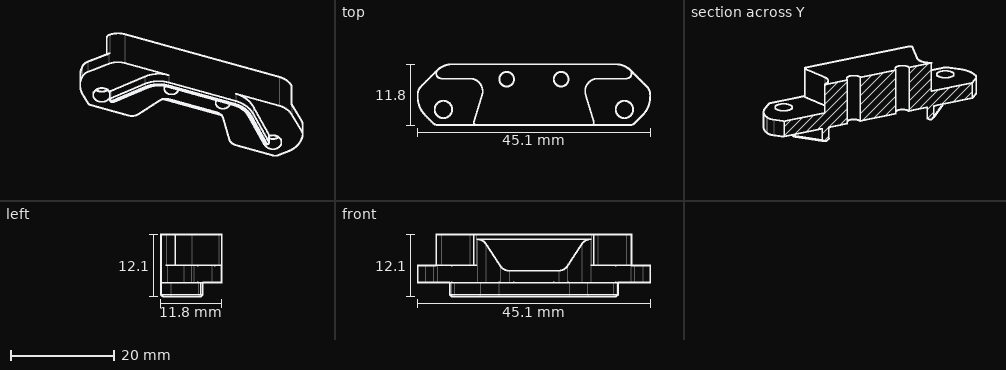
import cadquery as cq
import math

LENGTH = 45.1
DEPTH = 11.8
HEIGHT = 12.1
HALF_LENGTH = LENGTH / 2

FLANGE_BOTTOM = 2.75
FLANGE_TOP = 6.1
FRONT_CUT = 3.4
BACK_CUT = 5.0
FRONT_EDGE_ROUND = 1.0
FRONT_SIDE_ROUND = 4.95
BACK_SIDE_ROUND = 2.1
BACK_EDGE_ROUND = 4.15

BLOCK_FRONT_HALF_WIDTH = 11.8
BLOCK_TAPER = math.radians(17)
ARM_FRONT_Y = 9.0
ARM_TIP_ROUND = 1.0
ARM_ROOT_ROUND = 2.5
BLOCK_FRONT_ROUND = 0.5

POCKET_DEPTH = 6.35
POCKET_BACK_HALF_WIDTH = 5.9
POCKET_SIDE_ANGLE = math.radians(58)
POCKET_ROUND = 2.0
POCKET_FRONT_TOP = 11.15
POCKET_BACK_TOP = 5.05

RIB_THICKNESS = 1.1
RIB_OUTER_RADIUS = 5.85
RIB_BEND_X = 6.85
RIB_BEND_ANGLE = math.radians(47)
RIB_LEG_LENGTH = 7.85
RIB_END_ROUND = 0.45
RIB_CHAMFER = 0.4

FLANGE_HOLE_DIAMETER = 3.35
FLANGE_HOLE_X = 17.55
FLANGE_HOLE_Y = 3.0
BLOCK_HOLE_DIAMETER = 2.8
BLOCK_HOLE_X = 5.28
BLOCK_HOLE_Y = 8.9

MARGIN = 2.25


def prism(points, bottom, top):
    """Upright solid over a closed polygon."""
    return cq.Workplane("XY", origin=(0, 0, bottom)).polyline(points).close().extrude(top - bottom)


def round_upright_edges(body, corners, radius):
    """Round the upright edges at the given corners and at their mirror images."""
    for x, y in corners:
        for side in (-1, 1):
            nearest = cq.selectors.NearestToPointSelector((side * x, y, body.val().Center().z))
            body = body.edges("|Z").edges(nearest).fillet(radius)
    return body


def mirrored(right_points):
    """Complete a right-hand chain of points with its left-hand mirror image."""
    return right_points + [(-x, y) for x, y in reversed(right_points)]


def plate(bottom, top):
    """Slab with the rounded outline of the flange."""
    front_edge = (HALF_LENGTH - FRONT_CUT, 0)
    front_side = (HALF_LENGTH, FRONT_CUT)
    back_side = (HALF_LENGTH, DEPTH - BACK_CUT)
    back_edge = (HALF_LENGTH - BACK_CUT, DEPTH)
    body = prism(mirrored([front_edge, front_side, back_side, back_edge]), bottom, top)
    body = round_upright_edges(body, [front_edge], FRONT_EDGE_ROUND)
    body = round_upright_edges(body, [front_side], FRONT_SIDE_ROUND)
    body = round_upright_edges(body, [back_side], BACK_SIDE_ROUND)
    return round_upright_edges(body, [back_edge], BACK_EDGE_ROUND)


def raised_block():
    """Upper block: the plate outline less a notch above each flange ear."""
    front = (BLOCK_FRONT_HALF_WIDTH, 0)
    root = (BLOCK_FRONT_HALF_WIDTH - ARM_FRONT_Y * math.tan(BLOCK_TAPER), ARM_FRONT_Y)
    tip = (HALF_LENGTH - BACK_CUT + DEPTH - ARM_FRONT_Y, ARM_FRONT_Y)
    body = plate(FLANGE_BOTTOM, HEIGHT)
    far_x = HALF_LENGTH + MARGIN
    overshoot = (BLOCK_FRONT_HALF_WIDTH + MARGIN * math.tan(BLOCK_TAPER), -MARGIN)
    for side in (-1, 1):
        notch = [overshoot, root, (far_x, ARM_FRONT_Y), (far_x, -MARGIN)]
        body = body.cut(prism([(side * x, y) for x, y in notch], 0, HEIGHT + MARGIN))
    body = round_upright_edges(body, [root], ARM_ROOT_ROUND)
    body = round_upright_edges(body, [tip], ARM_TIP_ROUND)
    return round_upright_edges(body, [front], BLOCK_FRONT_ROUND)


def pocket():
    """Cutter for the front pocket, with a sloping top."""
    front_half_width = POCKET_BACK_HALF_WIDTH + POCKET_DEPTH / math.tan(POCKET_SIDE_ANGLE)
    front = (front_half_width, 0)
    back = (POCKET_BACK_HALF_WIDTH, POCKET_DEPTH)
    lead_in = (HALF_LENGTH, 0)
    lead_in_front = (HALF_LENGTH, -MARGIN)
    cutter = prism(mirrored([lead_in_front, lead_in, front, back]), 0, HEIGHT)
    cutter = round_upright_edges(cutter, [front, back], POCKET_ROUND)
    profile = [(0, 0), (POCKET_DEPTH, 0), (POCKET_DEPTH, POCKET_BACK_TOP), (0, POCKET_FRONT_TOP)]
    below_ceiling = cq.Workplane("YZ").polyline(profile).close().extrude(HALF_LENGTH, both=True)
    return cutter.intersect(below_ceiling)


def rib_point(radius, angle, along=0.0):
    """Point on the right-hand bend, moved along the tangent there toward the tip."""
    x = RIB_BEND_X + radius * math.sin(angle) + along * math.cos(angle)
    y = DEPTH - RIB_OUTER_RADIUS + radius * math.cos(angle) - along * math.sin(angle)
    return x, y


def rib():
    """Straight bar along the back with a leg bent forward at each end."""
    inner_radius = RIB_OUTER_RADIUS - RIB_THICKNESS
    outer_tip = rib_point(RIB_OUTER_RADIUS, RIB_BEND_ANGLE, RIB_LEG_LENGTH)
    inner_tip = rib_point(inner_radius, RIB_BEND_ANGLE, RIB_LEG_LENGTH)
    half = (
        cq.Workplane("XY")
        .moveTo(0, DEPTH)
        .lineTo(*rib_point(RIB_OUTER_RADIUS, 0))
        .threePointArc(
            rib_point(RIB_OUTER_RADIUS, RIB_BEND_ANGLE / 2), rib_point(RIB_OUTER_RADIUS, RIB_BEND_ANGLE)
        )
        .lineTo(*outer_tip)
        .lineTo(*inner_tip)
        .lineTo(*rib_point(inner_radius, RIB_BEND_ANGLE))
        .threePointArc(rib_point(inner_radius, RIB_BEND_ANGLE / 2), rib_point(inner_radius, 0))
        .lineTo(0, DEPTH - RIB_THICKNESS)
        .close()
        .extrude(FLANGE_BOTTOM)
    )
    body = half.union(half.mirror("YZ")).clean()
    body = round_upright_edges(body, [outer_tip, inner_tip], RIB_END_ROUND)
    return body.faces("<Z").edges().chamfer(RIB_CHAMFER)


def hole_pair(x, y, diameter):
    """Cutter for two holes through the full height, mirrored about the middle."""
    return cq.Workplane("XY").pushPoints([(-x, y), (x, y)]).circle(diameter / 2).extrude(HEIGHT)


result = (
    plate(FLANGE_BOTTOM, FLANGE_TOP)
    .union(raised_block())
    .cut(pocket())
    .union(rib())
    .cut(hole_pair(FLANGE_HOLE_X, FLANGE_HOLE_Y, FLANGE_HOLE_DIAMETER))
    .cut(hole_pair(BLOCK_HOLE_X, BLOCK_HOLE_Y, BLOCK_HOLE_DIAMETER))
)